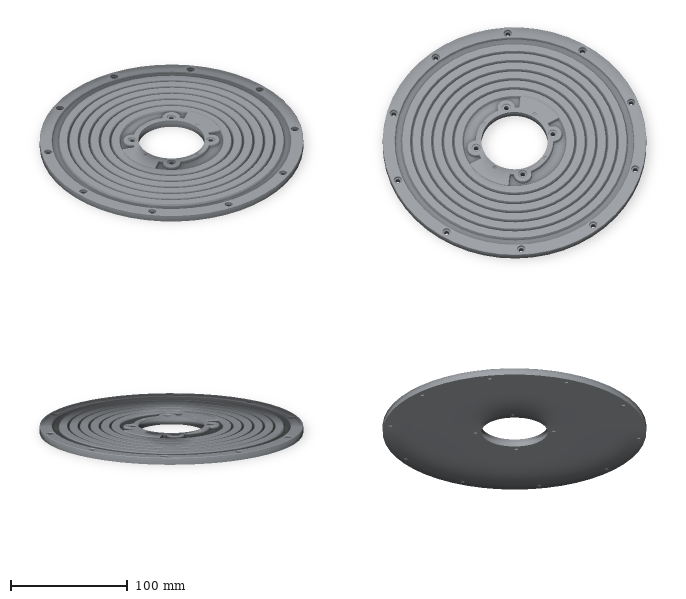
import cadquery as cq
import math

rim_z = 6.1
pad_z = 6.7
parting_z = 3.6
recess_depth = 2.0
recess_z = rim_z - recess_depth
groove_depth = 2.3
groove_z = rim_z - groove_depth

edge_bevel = 0.4

disc_radius = 113.0
disc_edge_draft = 0.1
bore_radius = 28.3
bore_draft = 0.1

wall_run = 1.2

groove_count = 5
groove_pitch = 9.0
first_groove_radius = 52.3
groove_half_width = 1.3

seal_inner_radius = 95.9
seal_ramp_radius = 100.6
seal_ramp_end_radius = 101.8
seal_outer_radius = 102.8
seal_ramp_rise = 0.3

pad_bevel_z = pad_z - edge_bevel
recess_radius = 44.7
pad_draft = 0.5
pad_ring_radius = 33.8
pad_sector_radius = 45.3
pad_sector_half_angle = 27.0
boss_radius = 8.1

rim_hole_count = 10
rim_hole_circle = 107.0
rim_counterbore_diameter = 6.6
rim_counterbore_depth = 2.0
boss_hole_count = 4
boss_hole_circle = 33.6
boss_counterbore_diameter = 7.3
boss_counterbore_depth = 1.0
hole_top_diameter = 4.2
hole_bottom_diameter = 3.2

pin_hole_count = 4
pin_hole_circle = 31.5
pin_hole_diameter = 3.4
pin_hole_floor_diameter = 2.6
pin_hole_depth = 0.6


def revolve_profile(points):
    """Revolve a closed (radius, height) outline about the Z axis."""
    return cq.Workplane("XZ").polyline(points).close().revolve(360, (0, 0, 0), (0, 1, 0))


def cone(base_radius, top_radius, base_z, top_z):
    """Solid frustum on the Z axis."""
    return revolve_profile([(0, base_z), (base_radius, base_z), (top_radius, top_z), (0, top_z)])


def around(shape, count, circle_radius, start_angle):
    """Copies of a shape placed evenly on a circle."""
    moved = shape.translate((circle_radius, 0, 0))
    copies = cq.Workplane("XY")
    for i in range(count):
        copies = copies.add(moved.rotate((0, 0, 0), (0, 0, 1), start_angle + i * 360 / count))
    return copies.combine()


def beveled_cone(base_radius):
    """Part of the pad: a drafted frustum with a beveled upper edge."""
    top_radius = base_radius - pad_draft
    return revolve_profile([
        (0, recess_z), (base_radius, recess_z), (top_radius, pad_bevel_z),
        (top_radius - edge_bevel, pad_z), (0, pad_z),
    ])


def disc():
    """Plain disc whose rim tapers both ways from the parting line."""
    edge_radius = disc_radius - disc_edge_draft
    return revolve_profile([
        (0, 0), (edge_radius, 0), (disc_radius, parting_z),
        (edge_radius, rim_z - edge_bevel), (edge_radius - edge_bevel, rim_z), (0, rim_z),
    ])


def bore():
    """Central opening, slightly narrower at the parting line."""
    wide_radius = bore_radius + bore_draft
    return revolve_profile([
        (0, 0), (wide_radius, 0), (bore_radius, parting_z), (wide_radius, pad_z), (0, pad_z),
    ])


def narrow_groove(radius):
    """Ring groove with sloping walls and a narrow flat floor."""
    floor_half_width = groove_half_width - wall_run
    return revolve_profile([
        (radius - groove_half_width, rim_z),
        (radius - floor_half_width, groove_z),
        (radius + floor_half_width, groove_z),
        (radius + groove_half_width, rim_z),
    ])


def seal_groove():
    """Wide flat groove whose floor ramps up to a beveled outer wall."""
    return revolve_profile([
        (seal_inner_radius, rim_z),
        (seal_inner_radius + wall_run, groove_z),
        (seal_ramp_radius, groove_z),
        (seal_ramp_end_radius, groove_z + seal_ramp_rise),
        (seal_outer_radius - edge_bevel, rim_z - edge_bevel),
        (seal_outer_radius, rim_z),
    ])


def pad_sector(mid_angle):
    """Pie-shaped part of the pad reaching out to the recess wall."""
    first = math.radians(mid_angle - pad_sector_half_angle)
    middle = math.radians(mid_angle)
    last = math.radians(mid_angle + pad_sector_half_angle)

    def rim_point(angle):
        return (pad_sector_radius * math.cos(angle), pad_sector_radius * math.sin(angle))

    height = pad_bevel_z - recess_z
    draft_angle = math.degrees(math.atan(pad_draft / height))
    body = (
        cq.Workplane("XY", origin=(0, 0, recess_z))
        .lineTo(*rim_point(first))
        .threePointArc(rim_point(middle), rim_point(last))
        .close()
        .extrude(height, taper=draft_angle)
    )
    bevel = body.faces(">Z").wires().toPending().workplane().extrude(edge_bevel, taper=45, combine=False)
    return body.union(bevel)


def pad():
    """Ring, screw bosses and two sectors that stand above the recess floor."""
    ring = beveled_cone(pad_ring_radius)
    boss = beveled_cone(boss_radius)
    bosses = around(boss, boss_hole_count, boss_hole_circle, 45)
    return ring.union(bosses).union(pad_sector(90)).union(pad_sector(270))


def screw_hole(face_z, counterbore_diameter, counterbore_depth):
    """Tapered through hole with a beveled counterbore at the given face."""
    seat_z = face_z - counterbore_depth
    counterbore_radius = counterbore_diameter / 2
    return revolve_profile([
        (0, 0),
        (hole_bottom_diameter / 2, 0),
        (hole_top_diameter / 2, seat_z),
        (counterbore_radius, seat_z),
        (counterbore_radius, face_z - edge_bevel),
        (counterbore_radius + edge_bevel, face_z),
        (0, face_z),
    ])


def pin_hole():
    """Shallow hole with a drafted wall."""
    return cone(pin_hole_floor_diameter / 2, pin_hole_diameter / 2, pad_z - pin_hole_depth, pad_z)


result = disc().cut(cone(recess_radius - wall_run, recess_radius, recess_z, rim_z))
for i in range(groove_count):
    result = result.cut(narrow_groove(first_groove_radius + i * groove_pitch))
result = result.cut(seal_groove())
result = result.union(pad())
result = result.cut(bore())

rim_hole = screw_hole(rim_z, rim_counterbore_diameter, rim_counterbore_depth)
boss_hole = screw_hole(pad_z, boss_counterbore_diameter, boss_counterbore_depth)
result = result.cut(around(rim_hole, rim_hole_count, rim_hole_circle, 90))
result = result.cut(around(boss_hole, boss_hole_count, boss_hole_circle, 45))
result = result.cut(around(pin_hole(), pin_hole_count, pin_hole_circle, 0))